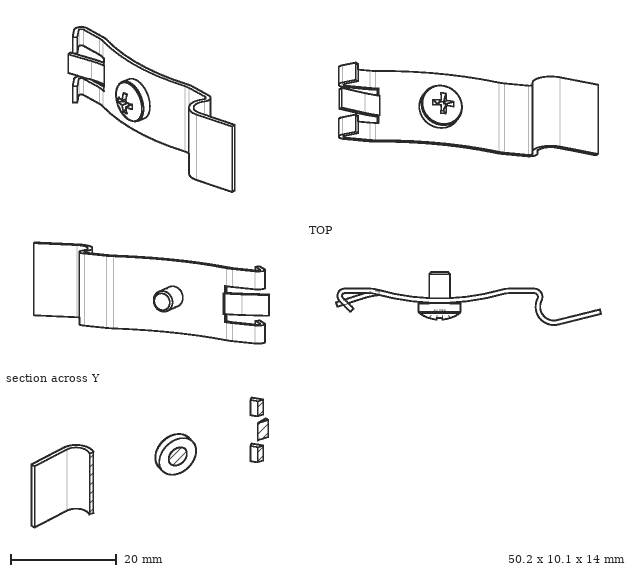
import cadquery as cq
import math

STRIP_WIDTH = 14.0
THICKNESS = 0.9
HALF = THICKNESS / 2

BOW_ANGLE = 16.0
BOW_END_X = 12.1
SHOULDER_INNER_RADIUS = 4.0
BOW_RADIUS = BOW_END_X / math.sin(math.radians(BOW_ANGLE)) - HALF
SHOULDER_RADIUS = SHOULDER_INNER_RADIUS + HALF
BOW_DEPTH = (BOW_RADIUS + SHOULDER_RADIUS) * (1 - math.cos(math.radians(BOW_ANGLE)))
BOW_MID_Y = -HALF - BOW_DEPTH
FLAT_START_X = (BOW_RADIUS + SHOULDER_RADIUS) * math.sin(math.radians(BOW_ANGLE))

S_BEND_X = 17.9
S_BEND_SMALL_RADIUS = 1.6 - HALF
S_BEND_LARGE_RADIUS = 3.49 - HALF
S_BEND_TURN = 116.3
LIP_ANGLE = 14.0
LIP_LENGTH = 8.35

HOOK_BEND_X = 17.95
HOOK_RADIUS = 1.4 - HALF
HOOK_TURN = 135.0
HOOK_LENGTH = 2.9

SLOT_WIDTH = 7.0
SLOT_ROOT_X = 11.5
TONGUE_WIDTH = 4.0
TONGUE_ROOT_OVERLAP = 0.4
TONGUE_START_Y = -0.8
TONGUE_START_ANGLE = 5.0
TONGUE_TURN = 13.0
TONGUE_BEND_RADIUS = 14.0
TONGUE_LENGTH = 5.15

SHANK_DIAMETER = 4.0
SHANK_TOP_Y = 3.13
SHANK_CHAMFER_RADIAL = 0.38
SHANK_CHAMFER_AXIAL = 0.45
HEAD_DIAMETER = 8.0
HEAD_SEAT_Y = -2.82
HEAD_RIM_Y = -4.4
DOME_EDGE_RADIUS = 3.85
DOME_EDGE_Y = -4.68
DOME_TIP_Y = -5.95

RECESS_ARM_WIDTH = 1.0
RECESS_HALF_LENGTH = 2.05
RECESS_FLOOR_HALF_LENGTH = 0.92
RECESS_MOUTH_Y = -5.6
RECESS_FLOOR_Y = -4.0


def line(length):
    return ("line", length, 0.0)


def bend(radius, turn):
    """Bend of the mid-line; a positive turn is counter-clockwise."""
    return ("bend", radius, turn)


def side_point(center, heading, offset):
    """Point at a distance to the left of a mid-line point."""
    angle = math.radians(heading + 90)
    return (center[0] + offset * math.cos(angle), center[1] + offset * math.sin(angle))


def bent_strip(start, heading, steps, width):
    """Strip of constant thickness along a mid-line in XY, centred on Z = 0."""
    stations = []
    point = start
    for kind, size, turn in steps:
        if kind == "line":
            middle = side_point(point, heading - 90, size / 2)
            end = side_point(point, heading - 90, size)
        else:
            to_center = math.copysign(size, turn)
            center = side_point(point, heading, to_center)
            middle = side_point(center, heading + turn / 2, -to_center)
            end = side_point(center, heading + turn, -to_center)
        stations.append((kind, (point, heading), (middle, heading + turn / 2), (end, heading + turn)))
        point = end
        heading += turn

    outline = cq.Workplane("XY").moveTo(*side_point(*stations[0][1], HALF))
    for kind, _, middle, end in stations:
        if kind == "line":
            outline = outline.lineTo(*side_point(*end, HALF))
        else:
            outline = outline.threePointArc(side_point(*middle, HALF), side_point(*end, HALF))
    outline = outline.lineTo(*side_point(*stations[-1][3], -HALF))
    for kind, begin, middle, _ in reversed(stations):
        if kind == "line":
            outline = outline.lineTo(*side_point(*begin, -HALF))
        else:
            outline = outline.threePointArc(side_point(*middle, -HALF), side_point(*begin, -HALF))
    return outline.close().extrude(width / 2, both=True)


def strip_half(flat_end_x, end_steps):
    """Half of the strip, from the screw axis towards +X."""
    steps = [
        bend(BOW_RADIUS, BOW_ANGLE),
        bend(SHOULDER_RADIUS, -BOW_ANGLE),
        line(flat_end_x - FLAT_START_X),
    ]
    return bent_strip((0, BOW_MID_Y), 0, steps + end_steps, STRIP_WIDTH)


def make_lip_half():
    return strip_half(S_BEND_X, [
        bend(S_BEND_SMALL_RADIUS, -S_BEND_TURN),
        bend(S_BEND_LARGE_RADIUS, S_BEND_TURN + LIP_ANGLE),
        line(LIP_LENGTH),
    ])


def make_hook_half():
    """Hooks and tongue, built towards +X and mirrored to the -X side."""
    hooks = strip_half(HOOK_BEND_X, [bend(HOOK_RADIUS, -HOOK_TURN), line(HOOK_LENGTH)])
    slot_length = 2 * SLOT_ROOT_X
    slot = cq.Workplane("XY").box(slot_length, slot_length, SLOT_WIDTH, centered=(False, True, True))
    tongue = bent_strip(
        (SLOT_ROOT_X - TONGUE_ROOT_OVERLAP, TONGUE_START_Y),
        -TONGUE_START_ANGLE,
        [
            line(TONGUE_ROOT_OVERLAP),
            bend(TONGUE_BEND_RADIUS, -TONGUE_TURN),
            line(TONGUE_LENGTH),
        ],
        TONGUE_WIDTH,
    )
    return hooks.cut(slot.translate((SLOT_ROOT_X, 0, 0))).union(tongue).mirror("YZ")


def make_screw():
    shank_radius = SHANK_DIAMETER / 2
    head_radius = HEAD_DIAMETER / 2
    dome_sag = DOME_EDGE_Y - DOME_TIP_Y
    dome_radius = (DOME_EDGE_RADIUS**2 + dome_sag**2) / (2 * dome_sag)
    dome_mid_angle = math.asin(DOME_EDGE_RADIUS / dome_radius) / 2
    dome_mid = (
        dome_radius * math.sin(dome_mid_angle),
        DOME_TIP_Y + dome_radius * (1 - math.cos(dome_mid_angle)),
    )
    screw = (
        cq.Workplane("XY")
        .moveTo(0, SHANK_TOP_Y)
        .lineTo(shank_radius - SHANK_CHAMFER_RADIAL, SHANK_TOP_Y)
        .lineTo(shank_radius, SHANK_TOP_Y - SHANK_CHAMFER_AXIAL)
        .lineTo(shank_radius, HEAD_SEAT_Y)
        .lineTo(head_radius, HEAD_SEAT_Y)
        .lineTo(head_radius, HEAD_RIM_Y)
        .lineTo(DOME_EDGE_RADIUS, DOME_EDGE_Y)
        .threePointArc(dome_mid, (0, DOME_TIP_Y))
        .close()
        .revolve(360, (0, 0), (0, 1))
    )
    return screw.cut(make_recess())


def make_recess():
    """Two crossed slots whose ends slope in towards the floor."""
    arm = (
        cq.Workplane("XY")
        .moveTo(-RECESS_FLOOR_HALF_LENGTH, RECESS_FLOOR_Y)
        .lineTo(RECESS_FLOOR_HALF_LENGTH, RECESS_FLOOR_Y)
        .lineTo(RECESS_HALF_LENGTH, RECESS_MOUTH_Y)
        .lineTo(RECESS_HALF_LENGTH, DOME_TIP_Y)
        .lineTo(-RECESS_HALF_LENGTH, DOME_TIP_Y)
        .lineTo(-RECESS_HALF_LENGTH, RECESS_MOUTH_Y)
        .close()
        .extrude(RECESS_ARM_WIDTH / 2, both=True)
    )
    return arm.union(arm.rotate((0, 0, 0), (0, 1, 0), 90))


result = make_lip_half().union(make_hook_half()).union(make_screw())